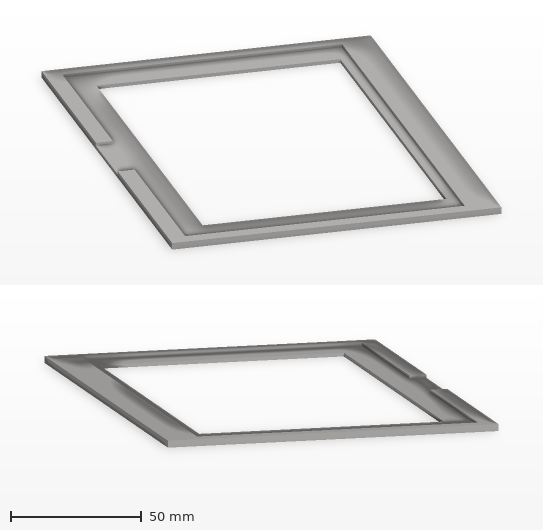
import cadquery as cq

length = 181.0
width = 131.0
thickness = 2.7

window_border = 17.0

recess_depth = 1.3
side_rim = 5.5
back_rim = 13.0
front_rim = 6.7

gap_width = 30.0


def box_between(x_min, x_max, y_min, y_max, z_min, z_max):
    """Box given by its limits along each axis."""
    box = cq.Workplane("XY").box(x_max - x_min, y_max - y_min, z_max - z_min, centered=False)
    return box.translate((x_min, y_min, z_min))


half_length = length / 2
half_width = width / 2
recess_floor = thickness - recess_depth

plate = box_between(-half_length, half_length, -half_width, half_width, 0, thickness)

window_half_length = half_length - window_border
window_half_width = half_width - window_border
window = box_between(
    -window_half_length, window_half_length,
    -window_half_width, window_half_width,
    0, thickness,
)

recess_half_length = half_length - side_rim
recess_front = -half_width + front_rim
recess_back = half_width - back_rim
recess = box_between(
    -recess_half_length, recess_half_length,
    recess_front, recess_back,
    recess_floor, thickness,
)

rim_gap = box_between(
    -gap_width / 2, gap_width / 2,
    -half_width, recess_front,
    recess_floor, thickness,
)

result = plate.cut(window).cut(recess.union(rim_gap))